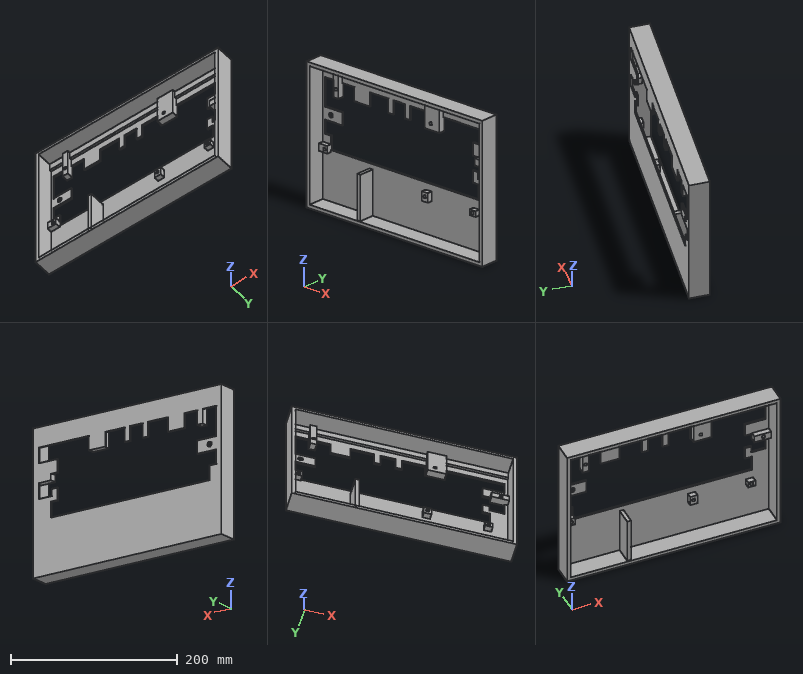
import cadquery as cq


WIDTH = 280.0
DEPTH = 26.0
HEIGHT = 190.0
SIDE_WALL = 5.0
END_WALL = 5.0
PLATE_THICKNESS = 2.0
PLATE_FACE = DEPTH - PLATE_THICKNESS
INNER_RIGHT = WIDTH - SIDE_WALL
INNER_TOP = HEIGHT - END_WALL

WINDOW_LEFT = 8.0
WINDOW_RIGHT = 271.0
WINDOW_BOTTOM = 72.0
WINDOW_TOP = 164.0

NARROW_TAB = 8.0
WIDE_TAB = 24.5
SIDE_TAB_HEIGHT = 17.0
TOP_TAB_END = 145.5
TOP_TABS = [
    (28.0, NARROW_TAB),
    (55.0, WIDE_TAB),
    (109.0, NARROW_TAB),
    (135.75, NARROW_TAB),
    (172.5, WIDE_TAB),
]
LEFT_TAB_END = 36.0
LEFT_TAB_BOTTOM = 108.75
LEFT_CORNER_END = 18.0
LEFT_CORNER_TOP = 90.5
RIGHT_TAB_END = 244.0
UPPER_RIGHT_TAB_BOTTOM = 127.25
LOWER_RIGHT_TAB_BOTTOM = 92.0
LOWER_RIGHT_TAB_TOP = LOWER_RIGHT_TAB_BOTTOM + 16.0
RIGHT_CORNER_LEFT = 253.0
RIGHT_CORNER_TOP = 99.0

TAB_HOLE_DIAMETER = 6.0
TAB_HOLE_X = 17.75
TAB_HOLE_Z = LEFT_TAB_BOTTOM + SIDE_TAB_HEIGHT / 2

LEDGE_BOTTOM = 175.0
LEDGE_RISE = 3.0

RIB_LEFT = 79.5
RIB_THICKNESS = 5.0
RIB_TOP = 65.25
RIB_SETBACK = 1.5

BLOCK_RISE = 7.0
SCREW_HOLE_DIAMETER = 4.0
SCREW_BLOCKS = [
    (28.0, 36.0, TOP_TAB_END, INNER_TOP, 32.0, 157.0),
    (173.5, 197.0, TOP_TAB_END, INNER_TOP, 183.0, 154.0),
    (RIGHT_CORNER_LEFT, INNER_RIGHT, 119.0, 128.5, 265.0, 124.0),
    (SIDE_WALL, LEFT_CORNER_END, 69.5, 79.5, 13.5, 74.0),
    (169.0, 178.5, 50.0, 62.5, 173.5, 56.5),
    (245.0, 254.5, 52.5, 60.0, 249.5, 56.5),
]


def box(left, right, front, back, bottom, top):
    """Block given by its six bounding planes."""
    size = (right - left, back - front, top - bottom)
    return cq.Workplane("XY").box(*size, centered=False).translate((left, front, bottom))


def plate_patch(left, right, bottom, top):
    """Rectangle with the thickness of the back plate."""
    return box(left, right, PLATE_FACE, DEPTH, bottom, top)


def bore(x, z, diameter, front, back):
    """Cylinder along Y used to cut a hole."""
    length = back - front
    return cq.Workplane("XZ", origin=(x, front, z)).circle(diameter / 2).extrude(-length)


def make_tray():
    tray = box(0, WIDTH, 0, DEPTH, 0, HEIGHT)
    cavity = box(SIDE_WALL, INNER_RIGHT, 0, PLATE_FACE, END_WALL, INNER_TOP)
    return tray.cut(cavity)


def make_window():
    """Cutter for the window, with the tabs left standing."""
    window = plate_patch(WINDOW_LEFT, WINDOW_RIGHT, WINDOW_BOTTOM, WINDOW_TOP)
    for left, width in TOP_TABS:
        window = window.cut(plate_patch(left, left + width, TOP_TAB_END, WINDOW_TOP))
    lower_tab_right = RIGHT_TAB_END + NARROW_TAB
    left_tab_top = LEFT_TAB_BOTTOM + SIDE_TAB_HEIGHT
    upper_tab_top = UPPER_RIGHT_TAB_BOTTOM + SIDE_TAB_HEIGHT
    side_tabs = [
        (WINDOW_LEFT, LEFT_TAB_END, LEFT_TAB_BOTTOM, left_tab_top),
        (WINDOW_LEFT, LEFT_CORNER_END, WINDOW_BOTTOM, LEFT_CORNER_TOP),
        (RIGHT_TAB_END, WINDOW_RIGHT, UPPER_RIGHT_TAB_BOTTOM, upper_tab_top),
        (RIGHT_TAB_END, lower_tab_right, LOWER_RIGHT_TAB_BOTTOM, LOWER_RIGHT_TAB_TOP),
        (lower_tab_right, WINDOW_RIGHT, LOWER_RIGHT_TAB_BOTTOM, RIGHT_CORNER_TOP),
        (RIGHT_CORNER_LEFT, WINDOW_RIGHT, WINDOW_BOTTOM, LOWER_RIGHT_TAB_BOTTOM),
    ]
    for tab in side_tabs:
        window = window.cut(plate_patch(*tab))
    return window


def make_ledge():
    return box(SIDE_WALL, INNER_RIGHT, PLATE_FACE - LEDGE_RISE, PLATE_FACE, LEDGE_BOTTOM, INNER_TOP)


def make_rib():
    return box(RIB_LEFT, RIB_LEFT + RIB_THICKNESS, RIB_SETBACK, PLATE_FACE, END_WALL, RIB_TOP)


def add_screw_blocks(body):
    """Blocks run to the back of the plate, also where they overhang the window."""
    block_face = PLATE_FACE - BLOCK_RISE
    for left, right, bottom, top, hole_x, hole_z in SCREW_BLOCKS:
        body = body.union(box(left, right, block_face, DEPTH, bottom, top))
        body = body.cut(bore(hole_x, hole_z, SCREW_HOLE_DIAMETER, block_face, PLATE_FACE))
    return body


body = make_tray().cut(make_window())
body = body.union(make_ledge()).union(make_rib())
body = add_screw_blocks(body)
result = body.cut(bore(TAB_HOLE_X, TAB_HOLE_Z, TAB_HOLE_DIAMETER, PLATE_FACE, DEPTH))